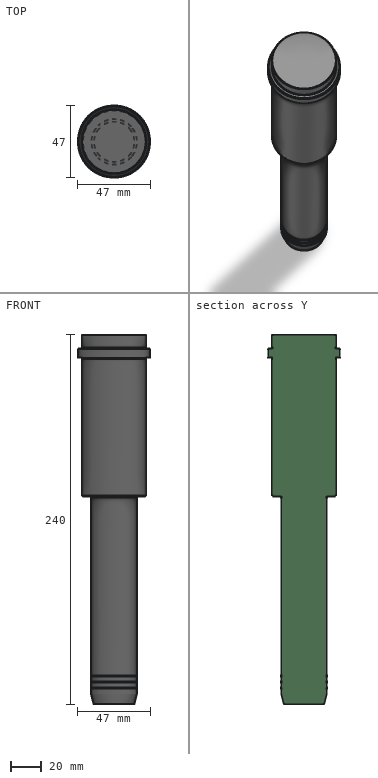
import cadquery as cq

total_length = 240.0
body_radius = 42.0 / 2
shaft_radius = 30.0 / 2
flange_radius = 47.0 / 2

body_bottom = 135.0
body_bottom_chamfer = 1.0
body_top_chamfer = 0.5
flange_bottom = 225.0
flange_height = 6.0
flange_chamfer = 0.7

taper_height = 7.0
tip_radius = 13.2
tip_chamfer = 0.35

shaft_groove_count = 3
shaft_groove_span = 8.0
shaft_groove_pitch = shaft_groove_span / (shaft_groove_count - 1)
lowest_shaft_groove = 10.5
shaft_groove_width = 1.0
shaft_groove_depth = 0.5

lower_flange_relief_width = 1.2
upper_flange_relief_width = 0.7
shaft_relief_width = 0.7
relief_depth = 0.5


def cylinder(radius, bottom, height):
    return cq.Workplane("XY").workplane(offset=bottom).circle(radius).extrude(height)


def revolve_profile(points):
    """Revolve a closed outline of (radius, height) points about the Z axis."""
    return cq.Workplane("XZ").polyline(points).close().revolve(360, (0, 0), (0, 1))


def v_groove(surface_radius, middle, width, depth):
    """Ring-shaped cutter with a V section, centred on the given height."""
    return revolve_profile(
        [
            (surface_radius - depth, middle),
            (surface_radius, middle + width / 2),
            (surface_radius + depth, middle + width / 2),
            (surface_radius + depth, middle - width / 2),
            (surface_radius, middle - width / 2),
        ]
    )


def make_shaft():
    """Shaft with a tapered, chamfered lower end and V grooves."""
    shaft = revolve_profile(
        [
            (0, 0),
            (tip_radius, 0),
            (shaft_radius, taper_height),
            (shaft_radius, body_bottom),
            (0, body_bottom),
        ]
    )
    shaft = shaft.faces("<Z").edges().chamfer(tip_chamfer)
    for index in range(shaft_groove_count):
        middle = lowest_shaft_groove + index * shaft_groove_pitch
        shaft = shaft.cut(v_groove(shaft_radius, middle, shaft_groove_width, shaft_groove_depth))
    relief_middle = body_bottom - shaft_relief_width / 2
    return shaft.cut(v_groove(shaft_radius, relief_middle, shaft_relief_width, relief_depth))


def make_body():
    """Thick upper body with chamfered ends and a relief groove on each side of the flange."""
    body = cylinder(body_radius, body_bottom, total_length - body_bottom)
    body = body.faces("<Z").edges().chamfer(body_bottom_chamfer)
    body = body.faces(">Z").edges().chamfer(body_top_chamfer)
    lower_middle = flange_bottom - lower_flange_relief_width / 2
    upper_middle = flange_bottom + flange_height + upper_flange_relief_width / 2
    body = body.cut(v_groove(body_radius, lower_middle, lower_flange_relief_width, relief_depth))
    return body.cut(v_groove(body_radius, upper_middle, upper_flange_relief_width, relief_depth))


def make_flange():
    """Flange with a chamfered upper edge."""
    flange = cylinder(flange_radius, flange_bottom, flange_height)
    return flange.faces(">Z").edges().chamfer(flange_chamfer)


result = make_shaft().union(make_body()).union(make_flange())